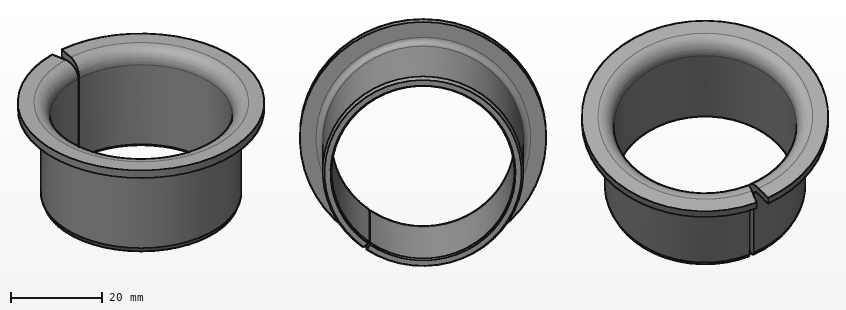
import cadquery as cq
import math

bore_radius = 20.0
wall = 2.0
height = 25.0
flange_radius = 27.0
outer_bend_radius = 1.5

lead_in_height = 1.2
lead_in_angle = 20.0
bore_chamfer_height = 0.5
bore_chamfer_angle = 30.0

split_apex_radius = 19.0
split_half_angle = 10.0

body_radius = bore_radius + wall
inner_bend_radius = outer_bend_radius + wall
bend_center_radius = body_radius + outer_bend_radius
bend_center_height = height - inner_bend_radius
flange_underside = height - wall
lead_in_width = lead_in_height * math.tan(math.radians(lead_in_angle))
bore_chamfer_width = bore_chamfer_height * math.tan(math.radians(bore_chamfer_angle))


def bend_point(radius):
    """Point halfway round a bend arc of the given radius, as (radius, height)."""
    offset = radius * math.sqrt(0.5)
    return bend_center_radius - offset, bend_center_height + offset


def make_bush():
    """Revolve the wall section, which bends outwards into the flange."""
    section = (
        cq.Workplane("XZ")
        .moveTo(bore_radius + bore_chamfer_width, 0)
        .lineTo(body_radius - lead_in_width, 0)
        .lineTo(body_radius, lead_in_height)
        .lineTo(body_radius, bend_center_height)
        .threePointArc(bend_point(outer_bend_radius), (bend_center_radius, flange_underside))
        .lineTo(flange_radius, flange_underside)
        .lineTo(flange_radius, height)
        .lineTo(bend_center_radius, height)
        .threePointArc(bend_point(inner_bend_radius), (bore_radius, bend_center_height))
        .lineTo(bore_radius, bore_chamfer_height)
        .close()
    )
    bush = section.revolve(360, (0, 0, 0), (0, 1, 0))
    return bush.rotate((0, 0, 0), (0, 0, 1), 180)


def make_split():
    """Wedge that cuts through the wall and flange over the full height."""
    widening = math.tan(math.radians(split_half_angle))
    outer_reach = flange_radius + wall
    outer_half_gap = (outer_reach - split_apex_radius) * widening
    return (
        cq.Workplane("XY")
        .moveTo(-split_apex_radius, 0)
        .lineTo(-outer_reach, outer_half_gap)
        .lineTo(-outer_reach, -outer_half_gap)
        .close()
        .extrude(height)
    )


result = make_bush().cut(make_split())